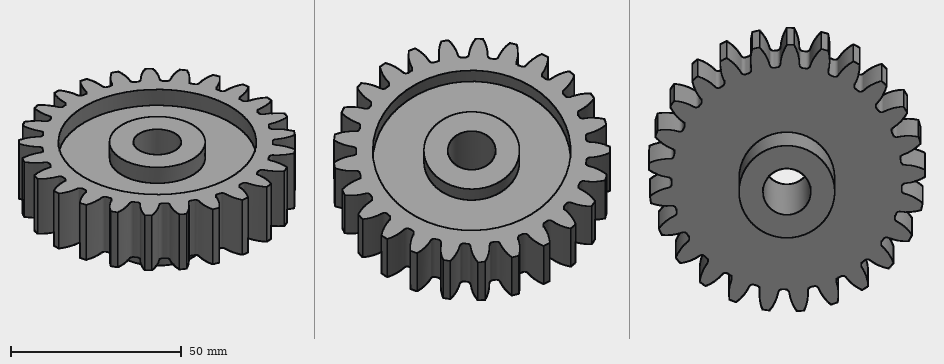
import cadquery as cq
import math

overall_width = 80.95
teeth = 25
pressure_angle = math.radians(20)
addendum_factor = 1.0
dedendum_factor = 1.25
foot_thickness = 5.6
root_fillet = 1.1

overall_height = 34.0
gear_height = 19.0
hub_diameter = 28.0
bore_diameter = 14.0
recess_diameter = 58.0
recess_depth = 5.5


def involute(angle):
    """Polar angle of the involute at the point with this pressure angle."""
    return math.tan(angle) - angle


pitch_angle = 2 * math.pi / teeth
base_half_angle = pitch_angle / 4 + involute(pressure_angle)
tip_pressure_angle = math.acos(math.cos(pressure_angle) * teeth / (teeth + 2 * addendum_factor))
tip_half_angle = base_half_angle - involute(tip_pressure_angle)

tip_radius = overall_width / 2 / math.cos(pitch_angle / 4 - tip_half_angle)
module = tip_radius / (teeth / 2 + addendum_factor)
pitch_radius = module * teeth / 2
root_radius = pitch_radius - dedendum_factor * module

foot_half_angle = foot_thickness / 2 / root_radius


def polar(radius, angle):
    """X and Y of a point given by its distance from the axis and its angle."""
    return (radius * math.cos(angle), radius * math.sin(angle))


def add_tooth(outline, tooth_angle):
    """Extend the outline over one tooth and along the root circle to the next one.

    Each flank is one arc through its foot, its pitch point and its tip, close to the involute.
    """
    pitch_half_angle = pitch_angle / 4
    next_foot = polar(root_radius, tooth_angle + pitch_angle - foot_half_angle)
    return (
        outline
        .threePointArc(
            polar(pitch_radius, tooth_angle - pitch_half_angle),
            polar(tip_radius, tooth_angle - tip_half_angle),
        )
        .threePointArc(
            polar(tip_radius, tooth_angle),
            polar(tip_radius, tooth_angle + tip_half_angle),
        )
        .threePointArc(
            polar(pitch_radius, tooth_angle + pitch_half_angle),
            polar(root_radius, tooth_angle + foot_half_angle),
        )
        .threePointArc(polar(root_radius, tooth_angle + pitch_angle / 2), next_foot)
    )


def gear_outline():
    first_tooth = -math.pi / 2
    outline = cq.Workplane("XY").moveTo(*polar(root_radius, first_tooth - foot_half_angle))
    for i in range(teeth):
        outline = add_tooth(outline, first_tooth + i * pitch_angle)
    return outline.close()


def is_root_edge(edge):
    """True for an edge inside the pitch circle, where a flank meets the root circle."""
    center = edge.Center()
    return math.hypot(center.x, center.y) < pitch_radius


def cylinder(diameter, bottom, height):
    return cq.Workplane("XY").workplane(offset=bottom).circle(diameter / 2).extrude(height)


wheel = gear_outline().extrude(gear_height)
wheel = wheel.edges("|Z").filter(is_root_edge).fillet(root_fillet)

recess = cylinder(recess_diameter, gear_height - recess_depth, recess_depth)

hub_bottom = gear_height - overall_height
hub = cylinder(hub_diameter, hub_bottom, overall_height)

bore = cylinder(bore_diameter, hub_bottom, overall_height)

result = wheel.cut(recess).union(hub).cut(bore)